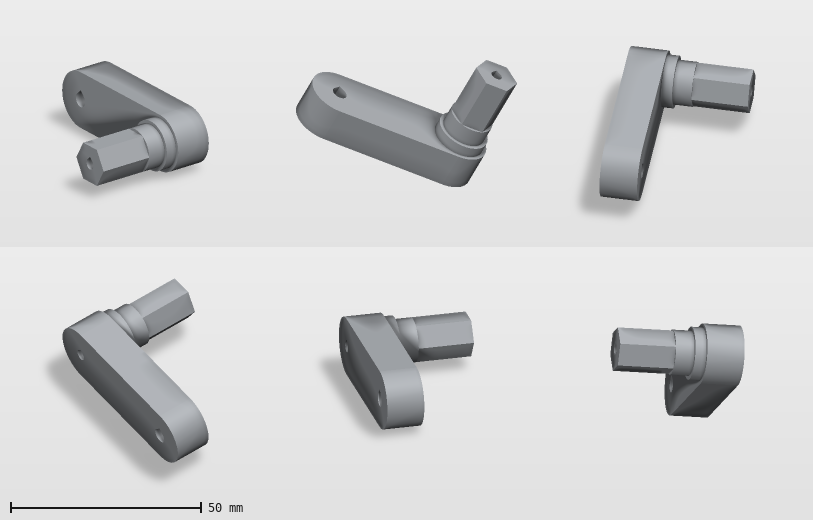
import cadquery as cq
import math

total_length = 50.65
arm_width = 16.0
arm_thickness = 10.05
pivot_spacing = total_length - arm_width

shoulder_diameter = 14.0
shoulder_length = 3.0
journal_diameter = 11.9
journal_length = 5.0
hex_length = 15.0
hex_across_corners = journal_diameter
shaft_length = shoulder_length + journal_length + hex_length

handle_hole_diameter = 4.0
shaft_hole_diameter = 3.0

handle_x = -pivot_spacing / 2
shaft_x = pivot_spacing / 2


def plane_at(x, y):
    """Sketch plane facing -Y, with local X along X and local Y along Z."""
    return cq.Workplane(cq.Plane(origin=(x, y, 0), xDir=(1, 0, 0), normal=(0, -1, 0)))


def teardrop_cutter(x, diameter):
    """Round hole closed above by two 45 degree flanks, through the whole depth."""
    radius = diameter / 2
    tangent = radius * math.sin(math.radians(45))
    return (
        plane_at(x, arm_thickness)
        .moveTo(-tangent, tangent)
        .threePointArc((0, -radius), (tangent, tangent))
        .lineTo(0, 2 * tangent)
        .close()
        .extrude(arm_thickness + shaft_length)
    )


arm = plane_at(0, arm_thickness).slot2D(total_length, arm_width).extrude(arm_thickness)

shoulder = plane_at(shaft_x, 0).circle(shoulder_diameter / 2).extrude(shoulder_length)
journal = plane_at(shaft_x, -shoulder_length).circle(journal_diameter / 2).extrude(journal_length)
hex_end = (
    plane_at(shaft_x, -shoulder_length - journal_length)
    .polygon(6, hex_across_corners)
    .extrude(hex_length)
)

result = (
    arm.union(shoulder)
    .union(journal)
    .union(hex_end)
    .cut(teardrop_cutter(handle_x, handle_hole_diameter))
    .cut(teardrop_cutter(shaft_x, shaft_hole_diameter))
)